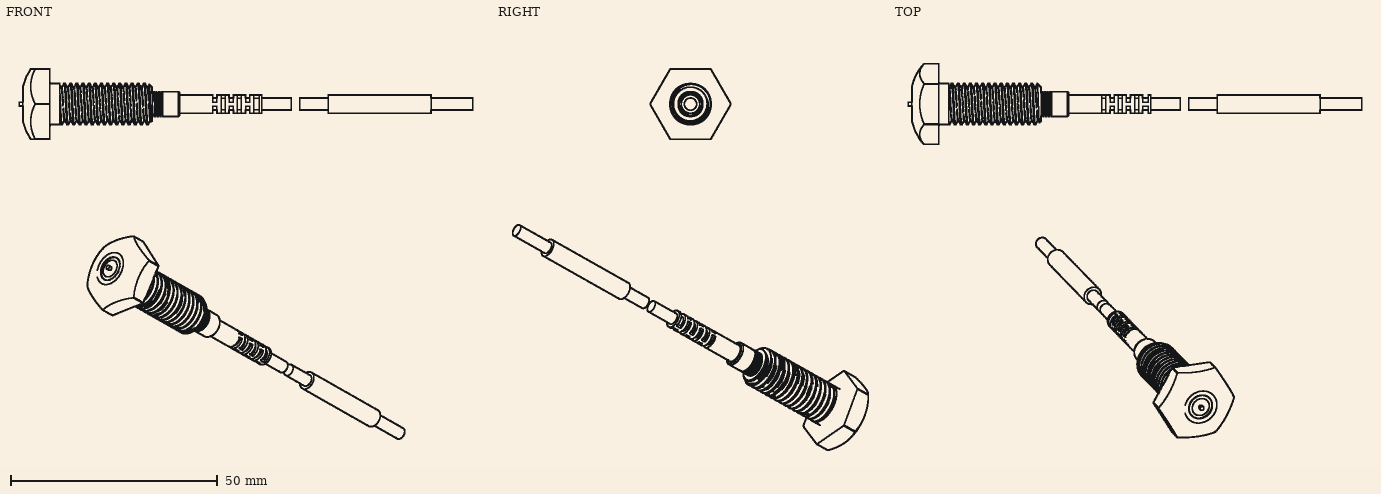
import cadquery as cq
import math

TOTAL_LENGTH = 109.8

PIN_DIAMETER = 1.0
FACE_X = 0.9
FACE_DIAMETER = 8.3
NOSE_DIAMETER = 4.4
NOSE_RECESS_DEPTH = 0.3
HEAD_DIAMETER = 19.5
HEAD_ACROSS_FLATS = 17.0
HEAD_END_X = 7.5
DOME_HEIGHT = 3.0
DOME_BULGE = 0.4

SHANK_DIAMETER = 10.0
SHANK_END_X = 32.2
SHANK_CHAMFER = 0.9
UNDERHEAD_FILLET = 0.2
THREAD_START_X = 9.9
THREAD_TURNS = 15

SLEEVE_DIAMETER = 6.0
SLEEVE_END_X = 38.9
SLEEVE_CHAMFER = 0.3
FINE_THREAD_START_X = 32.1
FINE_THREAD_END_X = 34.7
FINE_THREAD_TURNS = 4

TUBE_DIAMETER = 4.5
SLOT_START_X = 46.9
SLOT_COUNT = 6
SLOT_WIDTH = 1.0
SLOT_PITCH = 2 * SLOT_WIDTH
SLOT_WEB = 1.0
LAST_SLOT_EXTRA = 0.3
TUBE_END_X = SLOT_START_X + SLOT_COUNT * SLOT_PITCH

CABLE_DIAMETER = 3.0
FRONT_CABLE_END_X = 65.9
REAR_CABLE_START_X = 67.9
FERRULE_START_X = 74.8
FERRULE_END_X = 99.7

THREAD_DEPTH_RATIO = 0.61
ROOT_FLAT_RATIO = 1 / 8
FLANK_ANGLE = 30
SPIRAL_STEPS = 3


def rod(diameter, start_x, end_x):
    """Cylinder along the X axis."""
    return cq.Workplane("YZ", origin=(start_x, 0, 0)).circle(diameter / 2).extrude(end_x - start_x)


def polar_point(radius, angle):
    """Point of a cross-section at a radius and an angle in radians."""
    return (radius * math.cos(angle), radius * math.sin(angle))


def spiral_points(start_radius, start_angle, end_radius, end_angle):
    """Points along an Archimedean spiral, leaving out its start."""
    points = []
    for step in range(1, SPIRAL_STEPS + 1):
        share = step / SPIRAL_STEPS
        radius = start_radius + share * (end_radius - start_radius)
        angle = start_angle + share * (end_angle - start_angle)
        points.append(polar_point(radius, angle))
    return points


def threaded_rod(diameter, start_x, end_x, turns):
    """Right-hand threaded rod, made by twisting its cross-section along X.

    A slice across a single-start thread has a root arc and a crest arc, joined
    by two spirals that become the thread flanks.
    """
    length = end_x - start_x
    pitch = length / turns
    depth = THREAD_DEPTH_RATIO * pitch
    crest_radius = diameter / 2
    root_radius = crest_radius - depth
    root_angle = math.pi * ROOT_FLAT_RATIO
    flank_width = depth * math.tan(math.radians(FLANK_ANGLE))
    crest_angle = root_angle + 2 * math.pi * flank_width / pitch
    return (
        cq.Workplane("YZ", origin=(start_x, 0, 0))
        .moveTo(*polar_point(root_radius, -root_angle))
        .threePointArc((root_radius, 0), polar_point(root_radius, root_angle))
        .spline(spiral_points(root_radius, root_angle, crest_radius, crest_angle), includeCurrent=True)
        .threePointArc((-crest_radius, 0), polar_point(crest_radius, -crest_angle))
        .spline(spiral_points(crest_radius, -crest_angle, root_radius, -root_angle), includeCurrent=True)
        .close()
        .twistExtrude(length, 360 * turns)
    )


def make_head():
    """Hexagonal head with a domed front."""
    face_radius = FACE_DIAMETER / 2
    rim_radius = HEAD_DIAMETER / 2
    dome_width = rim_radius - face_radius
    chord = math.hypot(dome_width, DOME_HEIGHT)
    dome_middle = (
        FACE_X + DOME_HEIGHT / 2 - DOME_BULGE * dome_width / chord,
        (face_radius + rim_radius) / 2 + DOME_BULGE * DOME_HEIGHT / chord,
    )
    blank = (
        cq.Workplane("XY")
        .moveTo(FACE_X, 0)
        .lineTo(FACE_X, face_radius)
        .threePointArc(dome_middle, (FACE_X + DOME_HEIGHT, rim_radius))
        .lineTo(HEAD_END_X, rim_radius)
        .lineTo(HEAD_END_X, 0)
        .close()
        .revolve(360, (0, 0, 0), (1, 0, 0))
    )
    across_corners = HEAD_ACROSS_FLATS / math.cos(math.radians(30))
    hexagon = cq.Workplane("YZ").polygon(6, across_corners).extrude(HEAD_END_X)
    return blank.intersect(hexagon)


def make_shank_chamfer():
    """Ring that bevels the free end of the threaded shank."""
    radius = SHANK_DIAMETER / 2
    return (
        cq.Workplane("XY")
        .moveTo(SHANK_END_X, radius - SHANK_CHAMFER)
        .lineTo(SHANK_END_X, radius + SHANK_CHAMFER)
        .lineTo(SHANK_END_X - 2 * SHANK_CHAMFER, radius + SHANK_CHAMFER)
        .close()
        .revolve(360, (0, 0, 0), (1, 0, 0))
    )


def make_nose_recess():
    """Bevelled ring sunk into the face of the head around its flat middle."""
    nose_radius = NOSE_DIAMETER / 2
    sleeve_radius = SLEEVE_DIAMETER / 2
    return (
        cq.Workplane("XY")
        .moveTo(FACE_X, nose_radius)
        .lineTo(FACE_X, sleeve_radius)
        .lineTo(FACE_X + NOSE_RECESS_DEPTH, sleeve_radius)
        .close()
        .revolve(360, (0, 0, 0), (1, 0, 0))
    )


def make_bolt():
    """Pin, head and filleted collar, with the threaded shank behind."""
    collar = rod(SHANK_DIAMETER, HEAD_END_X, THREAD_START_X)
    underhead_edge = cq.NearestToPointSelector((HEAD_END_X, 0, 0))
    pin = rod(PIN_DIAMETER, 0, HEAD_END_X)
    blank = make_head().union(pin).union(collar).edges(underhead_edge).fillet(UNDERHEAD_FILLET)
    thread = threaded_rod(SHANK_DIAMETER, THREAD_START_X, SHANK_END_X, THREAD_TURNS)
    shank = thread.cut(make_shank_chamfer(), clean=False)
    return blank.cut(make_nose_recess()).union(shank, clean=False)


def make_sleeve():
    """Sleeve with a fine thread at the shank and a bevelled free end."""
    thread = threaded_rod(SLEEVE_DIAMETER, FINE_THREAD_START_X, FINE_THREAD_END_X, FINE_THREAD_TURNS)
    plain = rod(SLEEVE_DIAMETER, FINE_THREAD_END_X, SLEEVE_END_X).faces(">X").chamfer(SLEEVE_CHAMFER)
    return thread.union(plain, clean=False)


def make_slot(start_x, width, angle):
    """Pair of opposed slots, open towards +Z and -Z before turning by angle about X."""
    ring = rod(2 * TUBE_DIAMETER, start_x, start_x + width)
    web = cq.Workplane("XY").box(2 * TUBE_END_X, 2 * TUBE_DIAMETER, SLOT_WEB)
    return ring.cut(web).rotate((0, 0, 0), (1, 0, 0), angle)


def make_strain_relief():
    """Tube whose slots alternate between the Z and Y directions."""
    tube = rod(TUBE_DIAMETER, SLEEVE_END_X, TUBE_END_X)
    for index in range(SLOT_COUNT):
        is_last = index == SLOT_COUNT - 1
        width = SLOT_WIDTH + LAST_SLOT_EXTRA if is_last else SLOT_WIDTH
        tube = tube.cut(make_slot(SLOT_START_X + index * SLOT_PITCH, width, 90 * (index % 2)))
    return tube


def make_probe():
    """Bolt, sleeve, strain relief and front length of cable as one body."""
    cable = rod(CABLE_DIAMETER, SLEEVE_END_X, FRONT_CABLE_END_X)
    tail = make_sleeve().union(make_strain_relief().union(cable), clean=False)
    return make_bolt().union(tail, clean=False)


def make_rear_cable():
    """Rear length of cable with its ferrule."""
    cable = rod(CABLE_DIAMETER, REAR_CABLE_START_X, TOTAL_LENGTH)
    return cable.union(rod(TUBE_DIAMETER, FERRULE_START_X, FERRULE_END_X))


probe = make_probe()
rear_cable = make_rear_cable()

result = cq.Compound.makeCompound([probe.val(), rear_cable.val()])